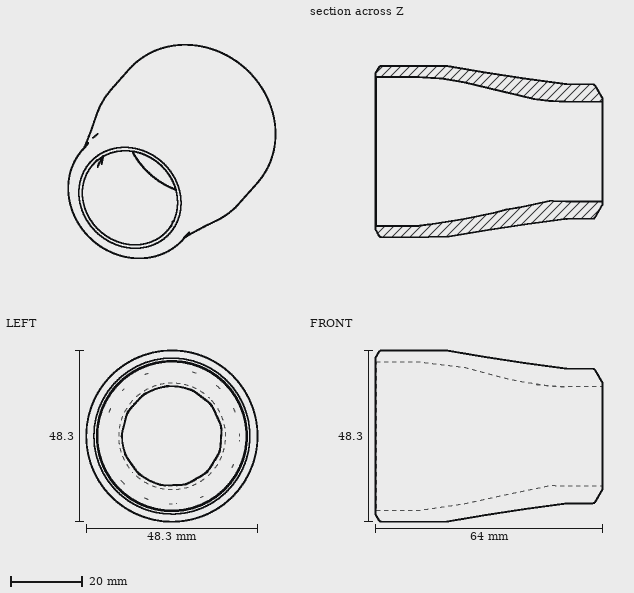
import cadquery as cq
import math

length = 64.0
large_radius = 48.3 / 2
small_radius = 38.0 / 2
large_bore_radius = 41.9 / 2
small_bore_radius = 28.0 / 2

taper_start = 20.0
taper_end = 53.95
taper_sag = 0.225
taper_blend_radius = 1.9
bore_taper_start = 11.9

land_width = 1.0
bevel_angle = math.radians(30)
bevel_edge_radius = 1.0
mouth_chamfer = 0.25

large_land_radius = large_bore_radius + land_width
small_land_radius = small_bore_radius + land_width
large_bevel_length = (large_radius - large_land_radius) * math.tan(bevel_angle)
small_bevel_length = (small_radius - small_land_radius) * math.tan(bevel_angle)


def revolve_about_x(profile):
    return profile.close().revolve(360, (0, 0, 0), (1, 0, 0))


def make_outer_body():
    taper_middle = ((taper_start + taper_end) / 2, (large_radius + small_radius) / 2 - taper_sag)
    profile = (
        cq.Workplane("XY")
        .lineTo(0, large_land_radius)
        .lineTo(large_bevel_length, large_radius)
        .lineTo(taper_start, large_radius)
        .threePointArc(taper_middle, (taper_end, small_radius))
        .lineTo(length - small_bevel_length, small_radius)
        .lineTo(length, small_land_radius)
        .lineTo(length, 0)
    )
    return revolve_about_x(profile)


def round_edge(body, position, radius, fillet_radius):
    """Round the circular outer edge at the given place along the axis."""
    margin = 0.05
    reach = radius + margin
    edge_box = cq.selectors.BoxSelector(
        (position - margin, -reach, -reach),
        (position + margin, reach, reach),
        boundingbox=True,
    )
    return body.edges(edge_box).edges("%CIRCLE").fillet(fillet_radius)


def make_bore():
    axial_tangents = [(1, 0), (1, 0)]
    profile = (
        cq.Workplane("XY")
        .lineTo(0, large_bore_radius + mouth_chamfer)
        .lineTo(mouth_chamfer, large_bore_radius)
        .lineTo(bore_taper_start, large_bore_radius)
        .spline([(taper_end, small_bore_radius)], tangents=axial_tangents, includeCurrent=True)
        .lineTo(length, small_bore_radius)
        .lineTo(length, 0)
    )
    return revolve_about_x(profile)


body = make_outer_body()
body = round_edge(body, large_bevel_length, large_radius, bevel_edge_radius)
body = round_edge(body, taper_end, small_radius, taper_blend_radius)
body = round_edge(body, length - small_bevel_length, small_radius, bevel_edge_radius)
result = body.cut(make_bore())